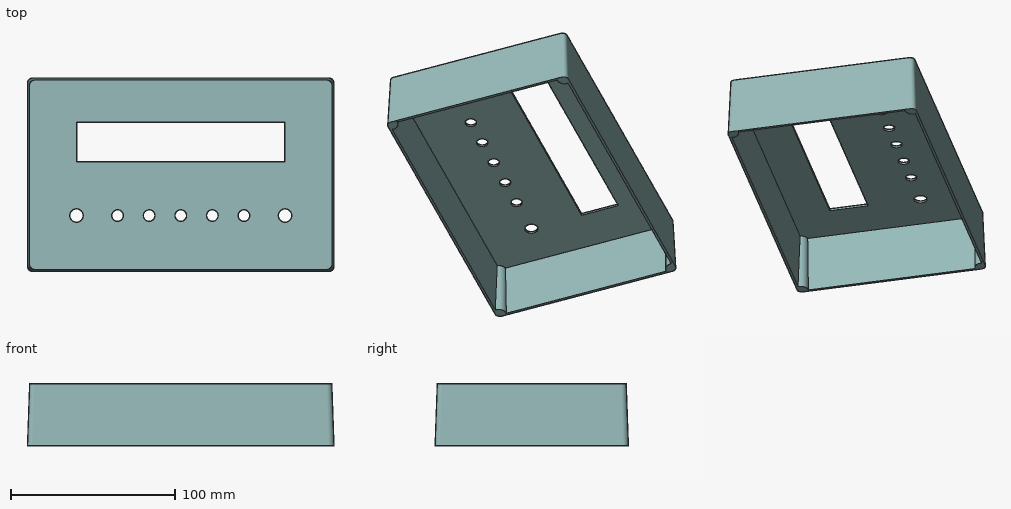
import cadquery as cq

length = 187.0
width = 118.0
height = 38.0
corner_radius = 3.2
draft_angle = 2.0
wall = 1.5

window_length = 126.6
window_width = 24.0
window_center_y = 20.0

hole_row_y = -24.9
button_diameter = 7.0
button_pitch = 19.3
button_count = 5
end_hole_diameter = 8.0
end_hole_spacing = 127.2

pillar_radius = 5.0
pillar_inset = 1.7


def drafted_block(block_length, block_width, block_height, radius):
    """Block on the base plane, narrowing upwards, with constant-radius rounded corners."""
    block = cq.Workplane("XY").rect(block_length, block_width).extrude(block_height, taper=draft_angle)
    slanted_corner_edges = block.edges("not(<Z or >Z)")
    return slanted_corner_edges.fillet(radius)


def corner_pillars():
    """Four upright cylinders from the base to the top plate."""
    return (
        cq.Workplane("XY")
        .rect(length - 2 * pillar_inset, width - 2 * pillar_inset, forConstruction=True)
        .vertices()
        .circle(pillar_radius)
        .extrude(height)
    )


def row_of_holes(diameter, pitch, count):
    """Cutters for evenly spaced holes centred on the hole row."""
    return (
        cq.Workplane("XY")
        .center(0, hole_row_y)
        .rarray(pitch, 1.9, count, 1)
        .circle(diameter / 2)
        .extrude(height)
    )


outer = drafted_block(length, width, height, corner_radius)
cavity = drafted_block(length - 2 * wall, width - 2 * wall, height - wall, corner_radius - wall)
result = outer.cut(cavity).union(corner_pillars().intersect(outer))

window = (
    cq.Workplane("XY")
    .center(0, window_center_y)
    .rect(window_length, window_width)
    .extrude(height)
)
result = result.cut(window)
result = result.cut(row_of_holes(button_diameter, button_pitch, button_count))
result = result.cut(row_of_holes(end_hole_diameter, end_hole_spacing, 2))